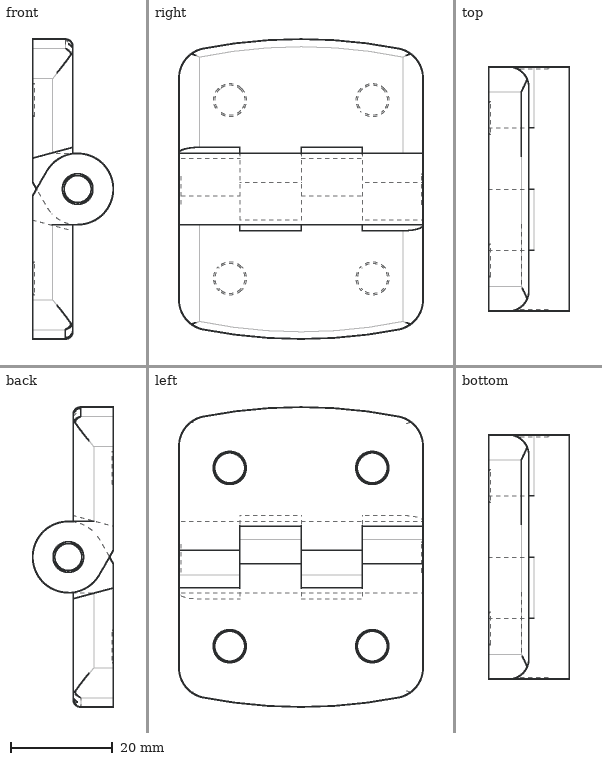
import cadquery as cq
import math


hinge_height = 59.0
hinge_width = 48.0
leaf_thickness = 7.9
end_arc_radius = 100.0
corner_radius = 6.0
side_round_radius = 4.0
end_round_radius = 1.5

knuckle_radius = 7.0
knuckle_center_x = 8.85
knuckle_slope_angle = 60.0
knuckle_count = 4
clearance_root = 6.1
clearance_angle = 15.0

pin_diameter = 6.0
pin_chamfer = 0.35
stud_diameter = 6.5
stud_chamfer = 0.3
stud_spacing_y = 28.0
stud_offset_z = 17.5

half_height = hinge_height / 2
half_width = hinge_width / 2
knuckle_width = hinge_width / knuckle_count


def extrude_along_y(profile, start_y, width):
    """Extrude a closed XZ profile from start_y toward +Y."""
    return profile.extrude(-width).translate((0, start_y, 0))


def plate_outline():
    """Lower plate: bowed bottom end, rounded corners, square top edge."""
    arc_center_z = end_arc_radius - half_height
    corner_y = half_width - corner_radius
    tangent_sine = corner_y / (end_arc_radius - corner_radius)
    tangent_cosine = math.sqrt(1 - tangent_sine**2)
    corner_z = arc_center_z - (end_arc_radius - corner_radius) * tangent_cosine
    tangent_y = end_arc_radius * tangent_sine
    tangent_z = arc_center_z - end_arc_radius * tangent_cosine
    middle_angle = (math.pi / 2 - math.asin(tangent_sine)) / 2
    middle_y = corner_y + corner_radius * math.cos(middle_angle)
    middle_z = corner_z - corner_radius * math.sin(middle_angle)
    return (
        cq.Workplane("YZ")
        .moveTo(half_width, -clearance_root)
        .lineTo(half_width, corner_z)
        .threePointArc((middle_y, middle_z), (tangent_y, tangent_z))
        .threePointArc((0, -half_height), (-tangent_y, tangent_z))
        .threePointArc((-middle_y, middle_z), (-half_width, corner_z))
        .lineTo(-half_width, -clearance_root)
        .close()
    )


def make_plate():
    """Plate whose side and end rounds meet in mitres at the corners."""
    plate = plate_outline().extrude(leaf_thickness)
    rounded_sides = (
        cq.Workplane("XY")
        .box(leaf_thickness, hinge_width, hinge_height, centered=(False, True, True))
        .edges("|Z and >X")
        .fillet(side_round_radius)
    )
    rounded_end = (
        cq.Workplane("YZ")
        .center(0, end_arc_radius - half_height)
        .circle(end_arc_radius)
        .extrude(leaf_thickness)
        .faces(">X")
        .edges()
        .fillet(end_round_radius)
    )
    return plate.intersect(rounded_sides).intersect(rounded_end)


def make_knuckle_root(start_y):
    """Block joining the barrel to the plate, its upper flank tangent to the barrel."""
    slope = math.radians(knuckle_slope_angle)
    tangent_x = knuckle_center_x - knuckle_radius * math.sin(slope)
    tangent_z = knuckle_radius * math.cos(slope)
    profile = cq.Workplane("XZ").polyline(
        [
            (0, -knuckle_radius),
            (knuckle_center_x, -knuckle_radius),
            (knuckle_center_x, 0),
            (tangent_x, tangent_z),
            (0, tangent_z - tangent_x * math.tan(slope)),
        ]
    ).close()
    return extrude_along_y(profile, start_y, knuckle_width)


def make_clearance(start_y):
    """Wedge that slopes the plate edge away from the other leaf's knuckle."""
    rise = leaf_thickness * math.tan(math.radians(clearance_angle))
    profile = cq.Workplane("XZ").polyline(
        [
            (0, -clearance_root),
            (leaf_thickness, -clearance_root),
            (leaf_thickness, -clearance_root - rise),
        ]
    ).close()
    return extrude_along_y(profile, start_y, knuckle_width)


def rim_groove(diameter, chamfer):
    """V ring left by a chamfered rim, at the origin, reaching up along +Z."""
    rim = diameter / 2
    return (
        cq.Workplane("XZ")
        .polyline([(rim - chamfer, 0), (rim, 0), (rim, chamfer)])
        .close()
        .revolve(360, (0, 0, 0), (0, 1, 0))
    )


def make_leaf():
    """Lower leaf: plate, two knuckle roots and two stud rims."""
    leaf = make_plate()
    for index in range(0, knuckle_count, 2):
        knuckle_y = -half_width + index * knuckle_width
        leaf = leaf.cut(make_clearance(knuckle_y + knuckle_width))
        leaf = leaf.union(make_knuckle_root(knuckle_y))
    stud_rim = rim_groove(stud_diameter, stud_chamfer).rotate((0, 0, 0), (0, 1, 0), 90)
    for side in (-1, 1):
        stud_place = (0, side * stud_spacing_y / 2, -stud_offset_z)
        leaf = leaf.cut(stud_rim.translate(stud_place))
    return leaf


lower_leaf = make_leaf()
upper_leaf = lower_leaf.rotate((0, 0, 0), (1, 0, 0), 180)

barrel_profile = cq.Workplane("XZ").center(knuckle_center_x, 0).circle(knuckle_radius)
barrel = extrude_along_y(barrel_profile, -half_width, hinge_width)

result = lower_leaf.union(upper_leaf).union(barrel)

for side in (-1, 1):
    pin_rim = rim_groove(pin_diameter, pin_chamfer).rotate((0, 0, 0), (1, 0, 0), side * 90)
    result = result.cut(pin_rim.translate((knuckle_center_x, side * half_width, 0)))